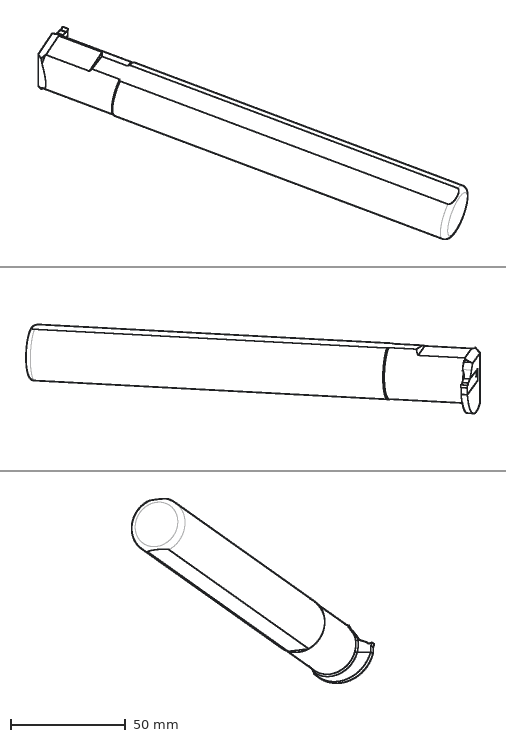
import cadquery as cq

TOTAL_LENGTH = 200.0
SHANK_RADIUS = 12.5
NECK_RADIUS = 12.2
NECK_END = 39.5
SHOULDER_LENGTH = 0.5
FLAT_HEIGHT = 11.5
TAIL_FILLET = 2.5

BLADE_THICKNESS = 2.8
BLADE_RADIUS = 16.0
TIP_Y = 19.5
BLADE_CENTER_Y = TIP_Y - BLADE_RADIUS
BLADE_CENTER_Z = 0.3
ROOT_LENGTH = 0.8
ROOT_END = BLADE_THICKNESS + ROOT_LENGTH

GULLET_LENGTH = 4.0
GULLET_TOP = (8.8, 8.0)
GULLET_ARC_START = (11.0, 5.2)
GULLET_ARC_MIDDLE = (12.2, 3.5)
GULLET_ARC_END = (14.2, 1.8)

RELIEF_TILT = 6.3
RELIEF_HEIGHT = 10.5
RELIEF_END = 24.8
BEVEL_LENGTH = 3.8
BEVEL_DROP = 1.8

CORNER_Y = -5.2

INSERT_INNER_Y = -0.5
INSERT_INNER_TOP = 3.0
INSERT_INNER_BOTTOM = -2.2
INSERT_SEAT_Y = 19.0
INSERT_SEAT_Z = -4.2
INSERT_FACE_Z = -1.2
INSERT_STEP = (17.0, 0.5)
TIP_Z = 0.2
RAKE_GROOVE = (17.8, -0.2)

RECESS_SIZE = 2.0
RECESS_DEPTH = 1.0
RECESS_Y = 0.8
RECESS_Z = 1.0

MARGIN = 40.0


def make_bar():
    """Neck, shoulder and shank turned as one bar with a rounded tail."""
    return (
        cq.Workplane("XY")
        .moveTo(0, 0)
        .lineTo(0, NECK_RADIUS)
        .lineTo(NECK_END - SHOULDER_LENGTH, NECK_RADIUS)
        .lineTo(NECK_END, SHANK_RADIUS)
        .lineTo(TOTAL_LENGTH, SHANK_RADIUS)
        .lineTo(TOTAL_LENGTH, 0)
        .close()
        .revolve(360, (0, 0, 0), (1, 0, 0))
        .faces(">X")
        .edges()
        .fillet(TAIL_FILLET)
    )


def cut_flats(body):
    """Top flat along the whole bar, bottom flat along the shank only."""
    for start, side in ((0, 1), (NECK_END, -1)):
        length = TOTAL_LENGTH - start
        waste = cq.Workplane("XY").box(length, 2 * MARGIN, MARGIN).translate(
            (start + length / 2, 0, side * (FLAT_HEIGHT + MARGIN / 2))
        )
        body = body.cut(waste)
    return body


def make_blade_outline():
    """Disc opened by the gullet, as thick as blade and root together."""
    disc = (
        cq.Workplane("YZ")
        .center(BLADE_CENTER_Y, BLADE_CENTER_Z)
        .circle(BLADE_RADIUS)
        .extrude(ROOT_END)
    )
    return disc.cut(make_gullet())


def make_gullet():
    """Waste above the gullet; past the arc its lower side runs inside the insert."""
    return (
        cq.Workplane("YZ")
        .moveTo(*GULLET_TOP)
        .lineTo(*GULLET_ARC_START)
        .threePointArc(GULLET_ARC_MIDDLE, GULLET_ARC_END)
        .lineTo(INSERT_SEAT_Y, INSERT_SEAT_Z)
        .lineTo(MARGIN, INSERT_SEAT_Z)
        .lineTo(MARGIN, MARGIN)
        .lineTo(GULLET_TOP[0], MARGIN)
        .close()
        .extrude(GULLET_LENGTH)
    )


def make_blade():
    """Blade disc with a conical root that runs down to the neck."""
    envelope = (
        cq.Workplane("XY")
        .moveTo(0, 0)
        .lineTo(0, MARGIN)
        .lineTo(BLADE_THICKNESS, MARGIN)
        .lineTo(BLADE_THICKNESS, NECK_RADIUS + ROOT_LENGTH)
        .lineTo(ROOT_END, NECK_RADIUS)
        .lineTo(ROOT_END, 0)
        .close()
        .revolve(360, (0, 0, 0), (1, 0, 0))
    )
    return make_blade_outline().intersect(envelope)


def cut_relief(body):
    """Tilted relief with a 45 degree end wall and a bevel at the front."""
    waste = (
        cq.Workplane("XZ")
        .moveTo(0, -BEVEL_DROP)
        .lineTo(BEVEL_LENGTH, 0)
        .lineTo(RELIEF_END, 0)
        .lineTo(RELIEF_END + MARGIN, MARGIN)
        .lineTo(0, MARGIN)
        .close()
        .extrude(MARGIN, both=True)
        .rotate((0, 0, 0), (1, 0, 0), -RELIEF_TILT)
        .translate((0, 0, RELIEF_HEIGHT))
    )
    return body.cut(waste)


def cut_corner(body):
    """45 degree cut between the front face and the -Y side."""
    waste = (
        cq.Workplane("XY")
        .moveTo(0, CORNER_Y)
        .lineTo(MARGIN, CORNER_Y - MARGIN)
        .lineTo(0, CORNER_Y - MARGIN)
        .close()
        .extrude(MARGIN, both=True)
    )
    return body.cut(waste)


def make_insert_blank():
    """Insert without its recess; it also shapes the seat in the holder."""
    return (
        cq.Workplane("YZ")
        .moveTo(INSERT_INNER_Y, INSERT_INNER_BOTTOM)
        .lineTo(INSERT_SEAT_Y, INSERT_SEAT_Z)
        .lineTo(INSERT_SEAT_Y, INSERT_FACE_Z)
        .lineTo(TIP_Y, TIP_Z)
        .lineTo(*RAKE_GROOVE)
        .lineTo(*INSERT_STEP)
        .lineTo(*GULLET_ARC_END)
        .lineTo(INSERT_INNER_Y, INSERT_INNER_TOP)
        .close()
        .extrude(BLADE_THICKNESS)
    )


def make_insert():
    """Insert with the square recess in its front face."""
    recess = (
        cq.Workplane("YZ")
        .center(RECESS_Y, RECESS_Z)
        .rect(RECESS_SIZE, RECESS_SIZE)
        .extrude(RECESS_DEPTH)
    )
    return make_insert_blank().cut(recess)


def make_holder():
    """Bar and blade as one body, with a seat that matches the insert."""
    bar = cut_flats(make_bar()).cut(make_gullet())
    body = bar.union(make_blade())
    body = cut_corner(cut_relief(body))
    return body.cut(make_insert_blank())


holder = make_holder()
insert = make_insert()
result = cq.Compound.makeCompound([holder.val(), insert.val()])